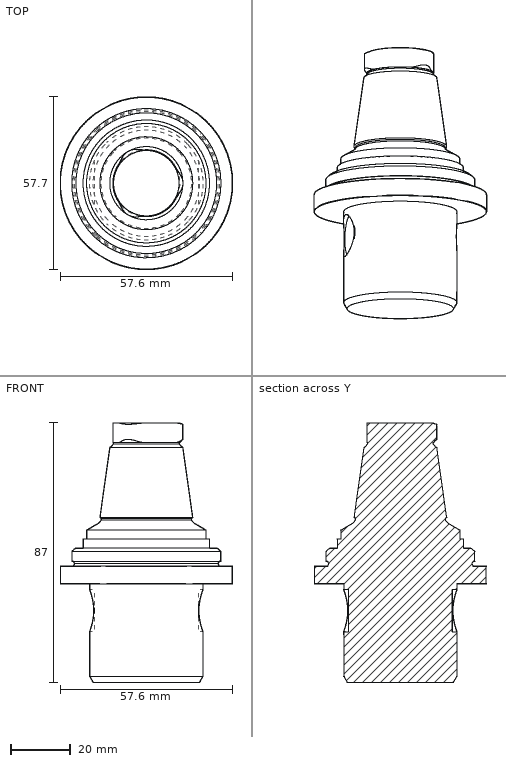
import cadquery as cq
import math

total_height = 87.0
body_chamfer_top = 2.1
flange_bottom = 33.1
flange_top = 39.0
groove_height = 39.85
collar_bottom = 40.6
collar_chamfer_bottom = 43.9
collar_bevel_bottom = 44.8
collar_top = 45.1
step_top = 48.1
shoulder_top = 51.1
shoulder_cone_top = 53.4
relief_bottom = 54.4
taper_bottom = 54.9
taper_full_bottom = 55.3
taper_full_top = 78.7
taper_top = 79.1
neck_bottom = 79.95
head_bottom = 80.4

body_radius = 38.0 / 2
body_end_radius = 17.8
groove_radius = 48.1 / 2
groove_foot_radius = 24.5
collar_radius = 50.0 / 2
collar_bevel_radius = 48.1 / 2
collar_top_radius = 23.6
step_radius = 42.4 / 2
shoulder_radius = 40.0 / 2
relief_radius = 15.1
shoulder_cone_radius = 16.0
taper_large_radius = 15.6
taper_small_radius = 12.3
taper_end_radius = 11.75
neck_radius = 11.05

flange_radius = 29.0
flange_edge = 0.2
hex_flat_distance = 28.8
y_flat_distance = 28.84

head_radius = 11.2
lobe_count = 3
lobe_tip_radius = 12.3
lobe_nose_x = 11.6
lobe_nose_y = 2.5
lobe_foot_angle = 25.0
head_top_radius = 11.0
head_top_bevel = 0.5
lobe_under_bevel = lobe_tip_radius - head_radius

pocket_diameter = 14.1
pocket_height = 24.1
pocket_floor_distance = 17.4


def make_turned_body():
    """Revolve the stem, collar, shoulders, taper and neck as one profile."""
    profile = [
        (0, 0),
        (body_end_radius, 0),
        (body_radius, body_chamfer_top),
        (body_radius, flange_top),
        (groove_foot_radius, flange_top),
        (groove_radius, groove_height),
        (groove_foot_radius, collar_bottom),
        (collar_radius, collar_bottom),
        (collar_radius, collar_chamfer_bottom),
        (collar_bevel_radius, collar_bevel_bottom),
        (collar_top_radius, collar_top),
        (step_radius, collar_top),
        (step_radius, step_top),
        (shoulder_radius, step_top),
        (shoulder_radius, shoulder_top),
        (shoulder_cone_radius, shoulder_cone_top),
        (relief_radius, relief_bottom),
        (relief_radius, taper_bottom),
        (taper_large_radius, taper_full_bottom),
        (taper_small_radius, taper_full_top),
        (taper_end_radius, taper_top),
        (neck_radius, neck_bottom),
        (neck_radius, head_bottom),
        (0, head_bottom),
    ]
    return cq.Workplane("XZ").polyline(profile).close().revolve(360, (0, 0), (0, 1))


def make_flange():
    """Disc with beveled rims and flats around the edge."""
    height = flange_top - flange_bottom
    disc = cq.Workplane("XY").workplane(offset=flange_bottom).circle(flange_radius).extrude(height)
    disc = disc.edges().chamfer(flange_edge)
    hexagon_diameter = 2 * hex_flat_distance / math.cos(math.pi / 6)
    hexagon = (
        cq.Workplane("XY")
        .workplane(offset=flange_bottom)
        .transformed(rotate=(0, 0, 30))
        .polygon(6, hexagon_diameter)
        .extrude(height)
    )
    slab = (
        cq.Workplane("XY")
        .workplane(offset=flange_bottom)
        .rect(3 * flange_radius, 2 * y_flat_distance)
        .extrude(height)
    )
    return disc.intersect(hexagon).intersect(slab)


def polar(radius, degrees):
    angle = math.radians(degrees)
    return radius * math.cos(angle), radius * math.sin(angle)


def make_head():
    """Lobed cap whose top and underside are trimmed by cones."""
    pitch = 360 / lobe_count
    nose_radius = math.hypot(lobe_nose_x, lobe_nose_y)
    nose_angle = math.degrees(math.atan2(lobe_nose_y, lobe_nose_x))

    outline = cq.Workplane("XY").workplane(offset=head_bottom).moveTo(*polar(head_radius, -lobe_foot_angle))
    for lobe in range(lobe_count):
        center = lobe * pitch
        outline = (
            outline.lineTo(*polar(nose_radius, center - nose_angle))
            .threePointArc(polar(lobe_tip_radius, center), polar(nose_radius, center + nose_angle))
            .lineTo(*polar(head_radius, center + lobe_foot_angle))
            .threePointArc(
                polar(head_radius, center + pitch / 2),
                polar(head_radius, center + pitch - lobe_foot_angle),
            )
        )
    cap = outline.close().extrude(total_height - head_bottom)

    envelope_profile = [
        (0, head_bottom),
        (head_radius, head_bottom),
        (lobe_tip_radius, head_bottom + lobe_under_bevel),
        (lobe_tip_radius, total_height - head_top_bevel),
        (head_top_radius, total_height),
        (0, total_height),
    ]
    envelope = cq.Workplane("XZ").polyline(envelope_profile).close().revolve(360, (0, 0), (0, 1))
    return cap.intersect(envelope)


def make_pocket(side):
    """Flat-floored round pocket cutter on the given X side (-1 or +1)."""
    return (
        cq.Workplane("YZ")
        .workplane(offset=side * pocket_floor_distance)
        .center(0, pocket_height)
        .circle(pocket_diameter / 2)
        .extrude(side * (body_radius - pocket_floor_distance))
    )


result = make_turned_body().union(make_flange()).union(make_head())
for side in (-1, 1):
    result = result.cut(make_pocket(side))